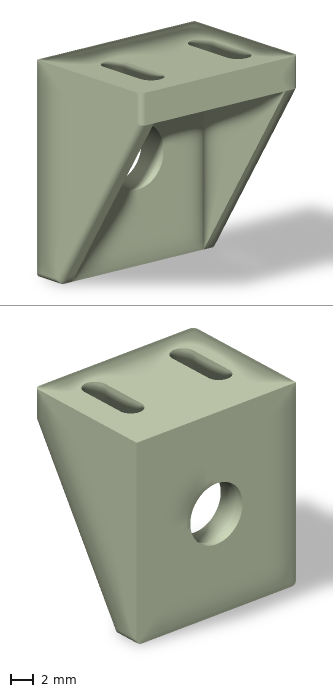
import cadquery as cq

depth = 14.0
width = 18.3
height = 20.0

toe_length = 3.0
nose_height = 3.0
edge_radius = 0.5

back_thickness = toe_length
top_thickness = nose_height
side_thickness = 1.5

bore_diameter = 6.0
slot_length = 7.3
slot_width = 2.4
slot_center_x = 8.05
slot_spacing = 10.1
slot_pair_offset = 0.08


def bracket_body():
    """Wedge-shaped block with the outer side edges of its bottom and front rounded."""
    profile = [
        (0, 0),
        (toe_length, 0),
        (depth, height - nose_height),
        (depth, height),
        (0, height),
    ]
    body = cq.Workplane("XZ").polyline(profile).close().extrude(width / 2, both=True)
    front_region = cq.selectors.BoxSelector(
        (edge_radius, -width, -edge_radius), (depth + edge_radius, width, height - edge_radius)
    )
    not_crosswise = cq.StringSyntaxSelector("not |Y")
    return body.edges(cq.selectors.AndSelector(front_region, not_crosswise)).fillet(edge_radius)


def interior():
    """Space between the side walls, open through the sloped front and the bottom."""
    space = cq.Workplane("XY").box(
        depth, width - 2 * side_thickness, height, centered=(False, True, False)
    )
    return space.translate((back_thickness, 0, -top_thickness))


def bore():
    """Round hole through the back plate."""
    return (
        cq.Workplane("YZ")
        .center(0, height / 2)
        .circle(bore_diameter / 2)
        .extrude(depth)
    )


def slots():
    """Pair of slots through the top plate, running along X."""
    return (
        cq.Workplane("XY", origin=(slot_center_x, slot_pair_offset, height))
        .pushPoints([(0, -slot_spacing / 2), (0, slot_spacing / 2)])
        .slot2D(slot_length, slot_width)
        .extrude(-height)
    )


result = bracket_body().cut(interior()).cut(bore()).cut(slots())